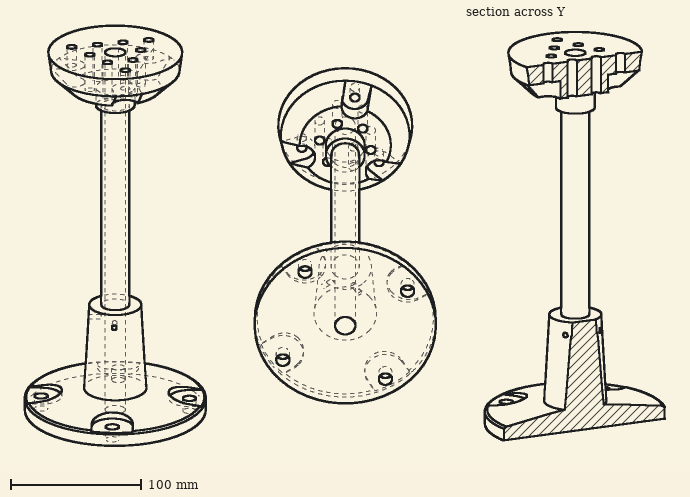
import cadquery as cq
import math

base_radius = 69.75
base_edge_height = 9.5
rim_radius = 67.8
rim_height = 11.0
foot_seat_z = 10.5

sleeve_bottom_radius = 24.0
sleeve_bottom_z = 18.3
sleeve_top_radius = 20.0
sleeve_top_z = 88.2
foot_top_radius = 25.8

pole_radius = 10.8
collar_radius = 15.0
collar_height = 15.0
head_top_radius = 51.5
head_mid_radius = 49.5
head_bottom_radius = 35.0
head_rim_height = 15.3
head_height = 29.5
total_height = 300.0
head_mid_z = total_height - head_rim_height
head_bottom_z = total_height - head_height
collar_bottom_z = head_bottom_z - collar_height

bore_radius = 7.8
foot_hole_spacing = 80.7
foot_hole_circle = foot_hole_spacing / math.sqrt(2)
foot_hole_radius = 5.0
foot_recess_radius = 16.0
head_hole_radius = 3.5
inner_hole_circle = 20.0
outer_hole_circle = 35.0
head_recess_radius = 10.2
set_screw_radius = 1.8
set_screw_z = 77.7

foot_angles = [45, 135, 225, 315]
inner_hole_angles = range(0, 360, 60)
outer_hole_angles = [90, 210, 330]
set_screw_angles = [225, 315]


def revolved_body():
    """Solid of revolution from the foot to the mounting head."""
    half_section = [
        (0, 0),
        (base_radius, 0),
        (base_radius, base_edge_height),
        (rim_radius, rim_height),
        (foot_top_radius, sleeve_bottom_z),
        (sleeve_bottom_radius, sleeve_bottom_z),
        (sleeve_top_radius, sleeve_top_z),
        (pole_radius, sleeve_top_z),
        (pole_radius, collar_bottom_z),
        (collar_radius, collar_bottom_z),
        (collar_radius, head_bottom_z),
        (head_bottom_radius, head_bottom_z),
        (head_mid_radius, head_mid_z),
        (head_top_radius, total_height),
        (0, total_height),
    ]
    return cq.Workplane("XZ").polyline(half_section).close().revolve(360, (0, 0), (0, 1))


def vertical_hole(radius, circle_radius, angle, bottom_z, top_z):
    """Upright cylinder at an angle on a hole circle."""
    hole = cq.Workplane("XY", origin=(circle_radius, 0, bottom_z)).circle(radius)
    return hole.extrude(top_z - bottom_z).rotate((0, 0, 0), (0, 0, 1), angle)


def open_recess(radius, circle_radius, angle, bottom_z, top_z):
    """U-shaped recess centred on a hole and open towards the outside."""
    reach = base_radius
    recess = (
        cq.Workplane("XY", origin=(circle_radius, 0, bottom_z))
        .moveTo(reach, radius)
        .lineTo(0, radius)
        .threePointArc((-radius, 0), (0, -radius))
        .lineTo(reach, -radius)
        .close()
        .extrude(top_z - bottom_z)
    )
    return recess.rotate((0, 0, 0), (0, 0, 1), angle)


def set_screw_hole(angle):
    """Radial hole through the sleeve wall, ending at the pole surface."""
    hole = cq.Workplane("YZ", origin=(pole_radius, 0, set_screw_z)).circle(set_screw_radius)
    return hole.extrude(sleeve_bottom_radius).rotate((0, 0, 0), (0, 0, 1), angle)


result = revolved_body()

result = result.cut(vertical_hole(bore_radius, 0, 0, 0, total_height))

for angle in foot_angles:
    result = result.cut(vertical_hole(foot_hole_radius, foot_hole_circle, angle, 0, sleeve_bottom_z))
    result = result.cut(
        open_recess(foot_recess_radius, foot_hole_circle, angle, foot_seat_z, sleeve_bottom_z)
    )

for angle in inner_hole_angles:
    result = result.cut(
        vertical_hole(head_hole_radius, inner_hole_circle, angle, head_bottom_z, total_height)
    )

for angle in outer_hole_angles:
    result = result.cut(
        vertical_hole(head_hole_radius, outer_hole_circle, angle, head_bottom_z, total_height)
    )
    result = result.cut(
        open_recess(head_recess_radius, outer_hole_circle, angle, head_bottom_z, head_mid_z)
    )

for angle in set_screw_angles:
    result = result.cut(set_screw_hole(angle))